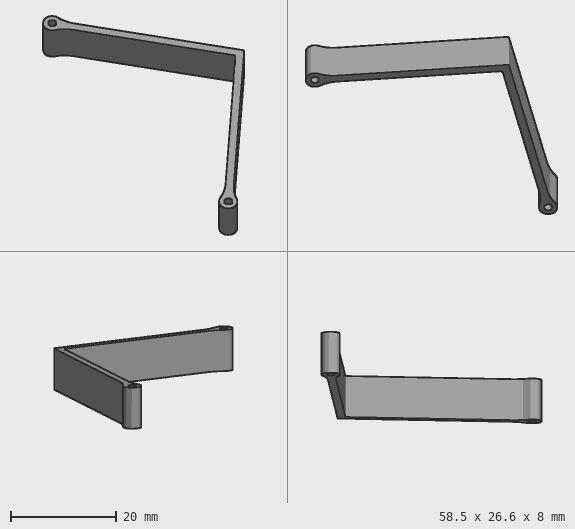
import cadquery as cq
import math

span = 58.5
depth = 26.55
height = 8.0
boss_radius = 1.75
hole_diameter = 1.5
arm_thickness = 1.6
flare_radius = 7.5
apex_radius = 0.4

hole_x = span / 2 - boss_radius
half_thickness = arm_thickness / 2


def apex_height(angle):
    """Y of the arm centrelines' meeting point that gives the overall depth."""
    rounding_loss = apex_radius * (1 / math.cos(angle) - 1)
    corner_offset = half_thickness / math.cos(angle)
    return depth - boss_radius + rounding_loss - corner_offset


arm_angle = math.atan2(depth - boss_radius, hole_x)
solver_steps = 20
for _ in range(solver_steps):
    arm_angle = math.atan2(apex_height(arm_angle), hole_x)
apex_y = apex_height(arm_angle)

flare_across = half_thickness + flare_radius
flare_along = math.sqrt((boss_radius + flare_radius) ** 2 - flare_across**2)
boss_share = boss_radius / (boss_radius + flare_radius)
boss_tangent = (flare_along * boss_share, flare_across * boss_share)
flare_angle = math.atan2(flare_across, flare_along)
middle_angle = (flare_angle + math.pi / 2) / 2
flare_middle = (
    flare_along - flare_radius * math.cos(middle_angle),
    flare_across - flare_radius * math.sin(middle_angle),
)


def make_v_arms():
    """Two straight arms meeting at a rounded corner."""
    corner_offset = half_thickness / math.cos(arm_angle)
    end_x = half_thickness * math.sin(arm_angle)
    end_y = half_thickness * math.cos(arm_angle)
    outline = [
        (-hole_x - end_x, end_y),
        (0, apex_y + corner_offset),
        (hole_x + end_x, end_y),
        (hole_x - end_x, -end_y),
        (0, apex_y - corner_offset),
        (-hole_x + end_x, -end_y),
    ]
    arms = cq.Workplane("XY").polyline(outline).close().extrude(height)
    corner_edges = cq.selectors.BoxSelector(
        (-arm_thickness, apex_y - arm_thickness, 0),
        (arm_thickness, apex_y + arm_thickness, height),
    )
    return arms.edges("|Z").edges(corner_edges).fillet(apex_radius)


def make_left_end():
    """Round boss with concave flares running into the arm."""
    flare = (
        cq.Workplane("XY")
        .moveTo(*boss_tangent)
        .threePointArc(flare_middle, (flare_along, half_thickness))
        .lineTo(flare_along, -half_thickness)
        .threePointArc((flare_middle[0], -flare_middle[1]), (boss_tangent[0], -boss_tangent[1]))
        .close()
        .extrude(height)
        .rotate((0, 0, 0), (0, 0, 1), math.degrees(arm_angle))
    )
    boss = cq.Workplane("XY").circle(boss_radius).extrude(height)
    return boss.union(flare).translate((-hole_x, 0, 0))


left_end = make_left_end()
right_end = left_end.mirror("YZ")
holes = (
    cq.Workplane("XY")
    .pushPoints([(-hole_x, 0), (hole_x, 0)])
    .circle(hole_diameter / 2)
    .extrude(height)
)

result = make_v_arms().union(left_end).union(right_end).cut(holes)